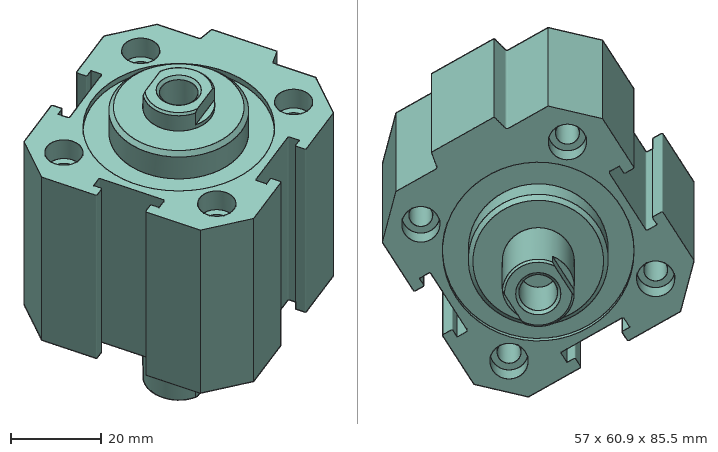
import cadquery as cq


body_width = 57.0
body_height = 48.5
corner_cut = 8.8

tongue_height = 3.9
tongue_top_width = 16.25
tongue_base_width = 17.95
tongue_root_radius = 0.5

slot_mouth_width = 12.05
slot_inner_width = 16.25
slot_lip = 2.65
slot_depth = 5.4
slot_radius = 0.3

recess_diameter = 42.5
recess_depth = 1.5
boss_diameter = 31.0
boss_height = 6.0
boss_chamfer = 1.0

bolt_spacing = 38.0
bolt_diameter = 5.3
counterbore_diameter = 8.5
counterbore_depth = 5.6

rod_diameter = 16.0
rod_above_body = 11.0
rod_below_body = 26.0
rod_chamfer = 0.5
flat_width = 13.0
flat_length = 4.0
bore_diameter = 8.55
bore_mouth_diameter = 10.0
bore_depth = 15.05

half_width = body_width / 2
half_height = body_height / 2
tongue_top_y = half_width + tongue_height
bore_chamfer = (bore_mouth_diameter - bore_diameter) / 2
rod_top = half_height + rod_above_body
rod_bottom = -half_height - rod_below_body


def cylinder(diameter, bottom, top):
    return cq.Workplane("XY").workplane(offset=bottom).circle(diameter / 2).extrude(top - bottom)


def both_ends(shape):
    """Return the shape joined with its mirror image at the other end of the housing."""
    return shape.union(shape.mirror("XY"))


def extrude_profile(points):
    profile = cq.Workplane("XY").workplane(offset=-half_height).polyline(points).close()
    return profile.extrude(body_height)


def make_tongue():
    """Tongue with sloping sides on the +Y face."""
    return extrude_profile([
        (-tongue_base_width / 2, half_width),
        (-tongue_top_width / 2, tongue_top_y),
        (tongue_top_width / 2, tongue_top_y),
        (tongue_base_width / 2, half_width),
    ])


def make_slot(angle):
    """Rounded T-slot opening on the -Y face, turned about Z by the given angle."""
    mouth = slot_mouth_width / 2
    inner = slot_inner_width / 2
    face_y = -half_width
    lip_y = face_y + slot_lip
    floor_y = face_y + slot_depth
    slot = extrude_profile([
        (-inner, face_y - slot_lip),
        (-inner, face_y),
        (-mouth, face_y),
        (-mouth, lip_y),
        (-inner, lip_y),
        (-inner, floor_y),
        (inner, floor_y),
        (inner, lip_y),
        (mouth, lip_y),
        (mouth, face_y),
        (inner, face_y),
        (inner, face_y - slot_lip),
    ])
    rounded_corners = [(side * x, y)
                       for side in (-1, 1)
                       for x, y in ((mouth, face_y), (mouth, lip_y), (inner, floor_y))]
    for x, y in rounded_corners:
        slot = slot.edges(cq.NearestToPointSelector((x, y, 0))).fillet(slot_radius)
    return slot.rotate((0, 0, 0), (0, 0, 1), angle)


def make_boss():
    boss = cylinder(boss_diameter, half_height - recess_depth, half_height + boss_height)
    return boss.faces(">Z").chamfer(boss_chamfer)


def make_bolt_holes():
    """Four through holes, counterbored from both ends."""
    counterbore = cylinder(counterbore_diameter, half_height - counterbore_depth, half_height)
    hole = cylinder(bolt_diameter, -half_height, half_height).union(both_ends(counterbore))
    offset = bolt_spacing / 2
    centres = [(x, y) for x in (-offset, offset) for y in (-offset, offset)]
    return cq.Workplane("XY").pushPoints(centres).eachpoint(lambda place: hole.val().moved(place))


def make_housing():
    housing = cq.Workplane("XY").box(body_width, body_width, body_height)
    housing = housing.edges("|Z").chamfer(corner_cut)
    housing = housing.union(make_tongue())
    for side in (-1, 1):
        root = (side * tongue_base_width / 2, half_width, 0)
        housing = housing.edges(cq.NearestToPointSelector(root)).fillet(tongue_root_radius)
    for angle in (0, 90, -90):
        housing = housing.cut(make_slot(angle))
    housing = housing.cut(both_ends(cylinder(recess_diameter, half_height - recess_depth, half_height)))
    housing = housing.union(both_ends(make_boss()))
    housing = housing.cut(make_bolt_holes())
    return housing.cut(cylinder(rod_diameter, rod_bottom, rod_top))


def make_flats(bottom):
    """Material outside the two wrench flats, which face -X and +X."""
    blank = cylinder(2 * rod_diameter, bottom, bottom + flat_length)
    core = cq.Workplane("XY").workplane(offset=bottom).rect(flat_width, 3 * rod_diameter).extrude(flat_length)
    return blank.cut(core)


def make_bore(end, inward):
    """Blind axial bore with a chamfered mouth; inward is the Z direction into the rod."""
    mouth_radius = bore_mouth_diameter / 2
    radius = bore_diameter / 2
    profile = cq.Workplane("XZ").polyline([
        (0, end),
        (mouth_radius, end),
        (radius, end + inward * bore_chamfer),
        (radius, end + inward * bore_depth),
        (0, end + inward * bore_depth),
    ]).close()
    return profile.revolve(360, (0, 0, 0), (0, 1, 0))


def make_rod():
    rod = cylinder(rod_diameter, rod_bottom, rod_top)
    rod = rod.faces("<Z or >Z").chamfer(rod_chamfer)
    rod = rod.cut(make_flats(rod_top - flat_length))
    rod = rod.cut(make_flats(rod_bottom))
    rod = rod.cut(make_bore(rod_top, -1))
    return rod.cut(make_bore(rod_bottom, 1))


housing = make_housing()
rod = make_rod()
result = cq.Compound.makeCompound([housing.val(), rod.val()])